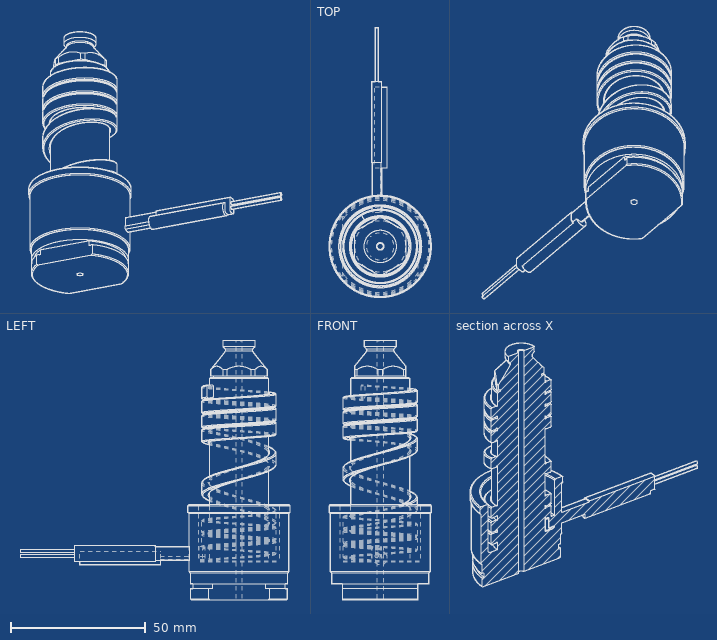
import cadquery as cq
import math

TOTAL_HEIGHT = 96.2
FOOT_LIP_TOP = 4.2
FOOT_TOP = 6.0
BODY_BOTTOM = 10.1
COLLAR_BOTTOM = 32.1
COLLAR_TOP = 35.3
BORE_FLOOR = 14.0
TUBE_TOP = 82.4
CAP_BOTTOM = 82.9
CONE_BOTTOM = 85.4
CONE_TOP = 91.7
NECK_BOTTOM = 92.3
NECK_TOP = 92.9
HEAD_BOTTOM = 93.9

FOOT_DIAMETER = 36.0
FOOT_GROOVE_DIAMETER = 34.2
FOOT_FLATS_WIDTH = 28.0
BODY_DIAMETER = 37.1
COLLAR_DIAMETER = 38.0
BORE_DIAMETER = 30.0
TUBE_DIAMETER = 22.0
CAP_SHANK_DIAMETER = 19.0
CAP_CORNER_DIAMETER = 21.0
CAP_SIDES = 6
CAP_ACROSS_FLATS = 19.0
CONE_TOP_DIAMETER = 10.8
NECK_DIAMETER = 10.1
HEAD_DIAMETER = 12.0
CHANNEL_DIAMETER = 2.3
CHANNEL_MOUTH_CHAMFER = 0.25
EDGE_BREAK = 0.4

COIL_OUTER_RADIUS = 13.8
COIL_INNER_RADIUS = TUBE_DIAMETER / 2
COIL_OVERLAP = 0.5
COIL_BAND_HEIGHT = 4.9
COIL_EDGE_BREAK = 0.4
COIL_ROOT_RADIUS = COIL_INNER_RADIUS - COIL_OVERLAP
COIL_ROOT_DEPTH = COIL_EDGE_BREAK + COIL_OVERLAP
COIL_CLOSE_PITCH = 5.3
COIL_STEEP_PITCH = 22.0
COIL_MID_ANGLE = 150.0
COIL_MID_LEVEL = 44.95
COIL_START_ANGLE = -990.0
COIL_END_ANGLE = 1561.0
STEEP_HALF_SWEEP = 180.0
BLEND_SWEEP = 136.0
COIL_STATIONS = 171

LEAD_X = -1.3
LEAD_Z = 17.25
LEAD_ROOT_Y = 12.5
STUB_WIDTH = 3.3
STUB_HEIGHT = 5.1
STUB_CORNER = 0.75
SLEEVE_WIDTH = 3.7
SLEEVE_HEIGHT = 6.0
SLEEVE_CORNER = 1.0
SLEEVE_START_Y = 31.0
SLEEVE_LENGTH = 30.0
WIRE_DIAMETER = 1.25
WIRE_SPACING = 1.85
WIRE_END_Y = 81.0
SENSOR_X = 0.1
SENSOR_Z = 15.55
SENSOR_DIAMETER = 5.0
SENSOR_START_Y = 29.0
SENSOR_LENGTH = 30.0


def revolved(profile):
    """Turn a closed (radius, z) outline about the Z axis."""
    return cq.Workplane("XZ").polyline(profile).close().revolve(360, (0, 0), (0, 1))


def disc(diameter, bottom, top):
    return cq.Workplane("XY").workplane(offset=bottom).circle(diameter / 2).extrude(top - bottom)


def make_foot():
    lip = disc(FOOT_DIAMETER, 0, FOOT_LIP_TOP).faces("<Z").chamfer(EDGE_BREAK)
    groove = disc(FOOT_GROOVE_DIAMETER, FOOT_LIP_TOP, FOOT_TOP)
    between_flats = cq.Workplane("XY").box(
        FOOT_FLATS_WIDTH, FOOT_DIAMETER, FOOT_TOP, centered=(True, True, False)
    )
    return lip.union(groove).intersect(between_flats)


def make_body():
    step = disc(FOOT_DIAMETER, FOOT_TOP, BODY_BOTTOM)
    barrel = disc(BODY_DIAMETER, BODY_BOTTOM, COLLAR_BOTTOM).faces("<Z").chamfer(EDGE_BREAK)
    collar = disc(COLLAR_DIAMETER, COLLAR_BOTTOM, COLLAR_TOP).edges().chamfer(EDGE_BREAK)
    bore = disc(BORE_DIAMETER, BORE_FLOOR, COLLAR_TOP).faces("<Z").chamfer(EDGE_BREAK)
    cup = step.union(barrel).union(collar).cut(bore)
    mouth = cup.faces(">Z").edges(cq.selectors.RadiusNthSelector(0))
    return mouth.chamfer(EDGE_BREAK)


def make_tube():
    return disc(TUBE_DIAMETER, BORE_FLOOR, TUBE_TOP).faces(">Z").chamfer(EDGE_BREAK)


def make_cap():
    shank = disc(CAP_SHANK_DIAMETER, TUBE_TOP, CAP_BOTTOM)
    outline = revolved([
        (0, CAP_BOTTOM),
        (CAP_CORNER_DIAMETER / 2, CAP_BOTTOM),
        (CAP_CORNER_DIAMETER / 2, CONE_BOTTOM),
        (CONE_TOP_DIAMETER / 2, CONE_TOP),
        (NECK_DIAMETER / 2, NECK_BOTTOM),
        (NECK_DIAMETER / 2, NECK_TOP),
        (HEAD_DIAMETER / 2, HEAD_BOTTOM),
        (HEAD_DIAMETER / 2, TOTAL_HEIGHT),
        (0, TOTAL_HEIGHT),
    ])
    hexagon = (
        cq.Workplane("XY")
        .workplane(offset=CAP_BOTTOM)
        .polygon(CAP_SIDES, CAP_ACROSS_FLATS, circumscribed=True)
        .extrude(TOTAL_HEIGHT - CAP_BOTTOM)
    )
    return shank.union(outline.intersect(hexagon))


def coil_level(angle):
    """Mid-height of the coil band at an angle in degrees: close pitch plus the steep turn's extra rise."""
    turned = angle - COIL_MID_ANGLE
    blended = max(0.0, min(BLEND_SWEEP, abs(turned) - STEEP_HALF_SWEEP))
    steep_sweep = min(STEEP_HALF_SWEEP, abs(turned)) + blended - blended**2 / (2 * BLEND_SWEEP)
    extra_rise = (COIL_STEEP_PITCH - COIL_CLOSE_PITCH) * math.copysign(steep_sweep, turned) / 360
    return COIL_MID_LEVEL + COIL_CLOSE_PITCH * turned / 360 + extra_rise


def coil_edge(radius, rise):
    """Curve traced along the coil by one corner of the band section."""
    points = []
    for station in range(COIL_STATIONS):
        part = station / (COIL_STATIONS - 1)
        angle = COIL_START_ANGLE + part * (COIL_END_ANGLE - COIL_START_ANGLE)
        turn = math.radians(angle)
        points.append(
            cq.Vector(radius * math.cos(turn), radius * math.sin(turn), coil_level(angle) + rise)
        )
    return cq.Edge.makeSpline(points)


def make_coil():
    half = COIL_BAND_HEIGHT / 2
    corners = [
        (COIL_ROOT_RADIUS, COIL_ROOT_DEPTH - half),
        (COIL_INNER_RADIUS + COIL_EDGE_BREAK, -half),
        (COIL_OUTER_RADIUS - COIL_EDGE_BREAK, -half),
        (COIL_OUTER_RADIUS, -half + COIL_EDGE_BREAK),
        (COIL_OUTER_RADIUS, half - COIL_EDGE_BREAK),
        (COIL_OUTER_RADIUS - COIL_EDGE_BREAK, half),
        (COIL_INNER_RADIUS + COIL_EDGE_BREAK, half),
        (COIL_ROOT_RADIUS, half - COIL_ROOT_DEPTH),
    ]
    edges = [coil_edge(radius, rise) for radius, rise in corners]
    faces = [cq.Face.makeRuledSurface(edges[i - 1], edges[i]) for i in range(len(edges))]
    for place in (0, 1):
        outline = [edge.positionAt(place) for edge in edges]
        faces.append(cq.Face.makeFromWires(cq.Wire.makePolygon(outline, close=True)))
    return cq.Workplane(cq.Solid.makeSolid(cq.Shell.makeShell(faces)).fix())


def lead_plane(x, z, start):
    """Sketch plane at Y = start whose extrusions run toward +Y."""
    return cq.Workplane(cq.Plane((x, start, z), xDir=(1, 0, 0), normal=(0, 1, 0)))


def rounded_lead(width, height, corner, start, end):
    block = lead_plane(LEAD_X, LEAD_Z, start).rect(width, height).extrude(end - start)
    return block.edges("|Y").fillet(corner)


def round_lead(diameter, x, z, start, end):
    return lead_plane(x, z, start).circle(diameter / 2).extrude(end - start)


def make_leads():
    sleeve_end = SLEEVE_START_Y + SLEEVE_LENGTH
    sensor_end = SENSOR_START_Y + SENSOR_LENGTH
    leads = rounded_lead(STUB_WIDTH, STUB_HEIGHT, STUB_CORNER, LEAD_ROOT_Y, SLEEVE_START_Y)
    leads = leads.union(
        rounded_lead(SLEEVE_WIDTH, SLEEVE_HEIGHT, SLEEVE_CORNER, SLEEVE_START_Y, sleeve_end)
    )
    for side in (-1, 1):
        wire_z = LEAD_Z + side * WIRE_SPACING / 2
        leads = leads.union(round_lead(WIRE_DIAMETER, LEAD_X, wire_z, sleeve_end, WIRE_END_Y))
    leads = leads.union(round_lead(SENSOR_DIAMETER, SENSOR_X, SENSOR_Z, SENSOR_START_Y, sensor_end))
    return leads.union(round_lead(WIRE_DIAMETER, SENSOR_X, SENSOR_Z, LEAD_ROOT_Y, SENSOR_START_Y))


def make_channel():
    """Bore through the whole height, with a chamfered mouth in the head."""
    radius = CHANNEL_DIAMETER / 2
    return revolved([
        (0, 0),
        (radius, 0),
        (radius, TOTAL_HEIGHT - CHANNEL_MOUTH_CHAMFER),
        (radius + CHANNEL_MOUTH_CHAMFER, TOTAL_HEIGHT),
        (0, TOTAL_HEIGHT),
    ])


result = make_foot().union(make_body()).union(make_tube()).union(make_coil()).union(make_cap())
result = result.union(make_leads()).cut(make_channel())